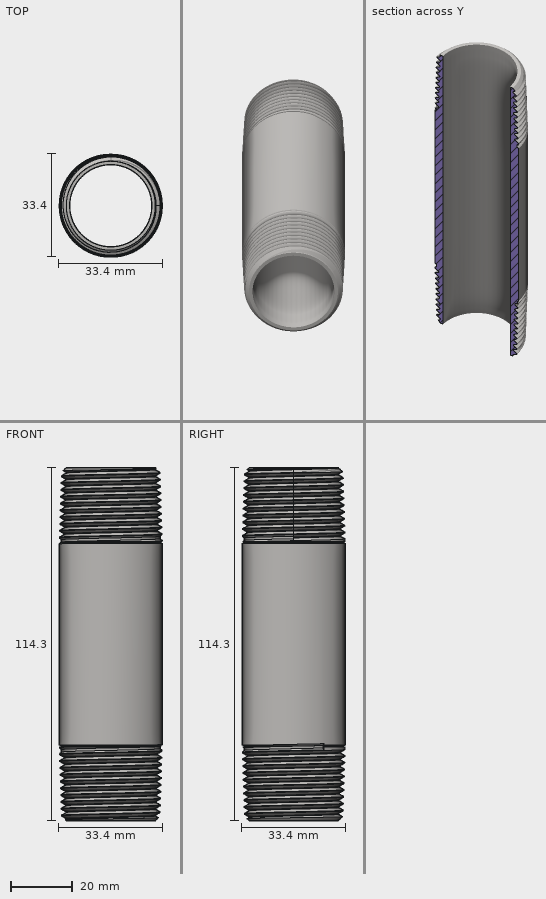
import cadquery as cq
import math

length = 114.3
outer_radius = 16.7
bore_radius = 13.3

thread_length = 24.6
pitch = 2.21
taper = 1 / 32
taper_angle = math.degrees(math.atan(taper))
groove_depth = 1.5
crest_flat = 0.2
root_flat = 0.2
first_groove_depth = 22.6
end_chamfer_radius = 14.4

runout_turns = 0.6
runout_depth = 0.6
runout_root_flat = 0.8
ring_width = 0.7
ring_slope = 0.3

seam_angle = 90
overcut = 0.17
shoulder_z = length - thread_length
end_crest_radius = outer_radius - taper * thread_length
full_groove_z = length - first_groove_depth
runout_z = full_groove_z - runout_turns * pitch


def crest_radius(z):
    """Radius of the tapered thread crests at height z."""
    return outer_radius - taper * (z - shoulder_z)


def corner_helix(radius, z, turns):
    """Tapered helix followed by one corner of the groove section."""
    helix = cq.Wire.makeHelix(
        pitch, turns * pitch, radius, center=cq.Vector(0, 0, z), angle=-taper_angle
    )
    return helix.Edges()[0]


def groove_cutter(start_z, turns, depth, root_width):
    """Trapezoidal thread groove, starting on +X and climbing along the taper."""
    crest = crest_radius(start_z)
    root = crest - depth
    half_root = root_width / 2
    half_mouth = (pitch - crest_flat) / 2
    flank_slope = (half_mouth - half_root) / depth
    outside = crest + overcut
    half_outside = half_mouth + flank_slope * overcut
    corners = [
        (root, start_z - half_root),
        (outside, start_z - half_outside),
        (outside, start_z + half_outside),
        (root, start_z + half_root),
    ]
    edges = [corner_helix(radius, z, turns) for radius, z in corners]
    sides = [cq.Face.makeRuledSurface(edges[i - 1], edges[i]) for i in range(len(edges))]
    caps = []
    for end in (0, 1):
        points = [edge.positionAt(end) for edge in edges]
        caps.append(cq.Face.makeFromWires(cq.Wire.makePolygon(points, close=True)))
    return cq.Workplane(obj=cq.Solid.makeSolid(cq.Shell.makeShell(sides + caps)))


def upper_blank():
    """Upper half of the pipe, tapered and chamfered, before the grooves are cut."""
    chamfer = end_crest_radius - end_chamfer_radius
    chamfer_z = length - chamfer
    ring_radius = outer_radius - runout_depth
    ring_top_z = shoulder_z + ring_width
    pipe = (
        cq.Workplane("XZ")
        .polyline([
            (bore_radius, length / 2),
            (outer_radius, length / 2),
            (outer_radius, shoulder_z),
            (ring_radius, shoulder_z + ring_slope),
            (ring_radius, ring_top_z),
            (crest_radius(ring_top_z), ring_top_z),
            (crest_radius(chamfer_z), chamfer_z),
            (end_chamfer_radius, length),
            (bore_radius, length),
        ])
        .close()
        .revolve(360, (0, 0, 0), (0, 1, 0))
    )
    return pipe.rotate((0, 0, 0), (0, 0, 1), seam_angle)


upper_half = upper_blank()
full_turns = math.ceil(first_groove_depth / pitch) + 1
for turn in range(full_turns):
    turn_cutter = groove_cutter(full_groove_z + turn * pitch, 1, groove_depth, root_flat)
    upper_half = upper_half.cut(turn_cutter)
runout_cutter = groove_cutter(runout_z, runout_turns, runout_depth, runout_root_flat)
runout_cutter = runout_cutter.rotate((0, 0, 0), (0, 0, 1), -360 * runout_turns)

upper_half = upper_half.cut(runout_cutter)
mid_height = length / 2
lower_half = upper_half.rotate((0, 0, mid_height), (0, 1, mid_height), 180)
result = upper_half.union(lower_half, clean=True)